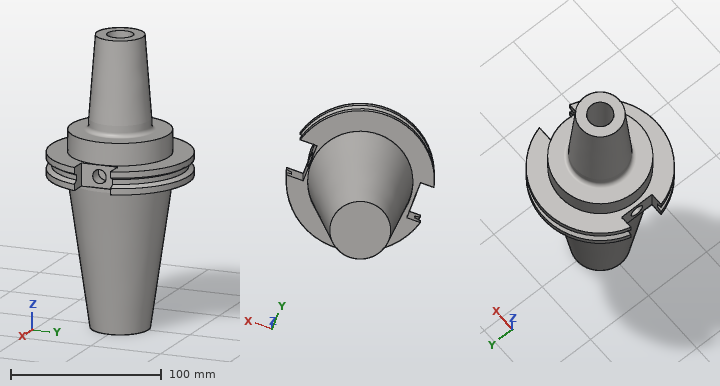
import cadquery as cq

total_height = 201.5
gauge_height = 101.8
flange_bottom = 104.8
flange_thickness = 16.0
flange_top = flange_bottom + flange_thickness
flange_middle = flange_bottom + flange_thickness / 2
collar_top = 136.3
nose_bottom = 144.1

shank_end_radius = 20.2
collar_radius = 34.9
flange_radius = 49.2
neck_radius = 21.0
nose_tip_radius = 16.5
neck_fillet = 3.0

groove_floor_radius = 45.5
groove_floor_width = 3.5
groove_mouth_width = 7.3

slot_width = 26.0
slot_face_positive_x = 35.5
slot_face_negative_x = 38.0
dimple_diameter = 9.7
dimple_depth = 9.7
bore_diameter = 18.0
bore_depth = 46.4


def make_body():
    """Revolve the shank, flange, collar and nose about Z."""
    profile = (
        cq.Workplane("XZ")
        .lineTo(shank_end_radius, 0)
        .lineTo(collar_radius, gauge_height)
        .lineTo(collar_radius, flange_bottom)
        .lineTo(flange_radius, flange_bottom)
        .lineTo(flange_radius, flange_middle - groove_mouth_width / 2)
        .lineTo(groove_floor_radius, flange_middle - groove_floor_width / 2)
        .lineTo(groove_floor_radius, flange_middle + groove_floor_width / 2)
        .lineTo(flange_radius, flange_middle + groove_mouth_width / 2)
        .lineTo(flange_radius, flange_top)
        .lineTo(collar_radius, flange_top)
        .lineTo(collar_radius, collar_top)
        .lineTo(neck_radius + neck_fillet, collar_top)
        .radiusArc((neck_radius, collar_top + neck_fillet), neck_fillet)
        .lineTo(neck_radius, nose_bottom)
        .lineTo(nose_tip_radius, total_height)
        .lineTo(0, total_height)
        .close()
    )
    return profile.revolve(360, (0, 0, 0), (0, 1, 0))


def make_drive_slot(side, slot_face_x):
    """Cutter for the slot and dimple on the +X (side=1) or -X (side=-1) side."""
    slot_depth = flange_radius - slot_face_x
    slot = cq.Workplane("XY").box(slot_depth, slot_width, flange_thickness).translate(
        (side * (slot_face_x + slot_depth / 2), 0, flange_middle)
    )
    dimple = (
        cq.Workplane("YZ", origin=(side * slot_face_x, 0, flange_middle))
        .circle(dimple_diameter / 2)
        .extrude(-side * dimple_depth)
    )
    return slot.union(dimple)


def make_bore():
    """Cutter for the blind tool bore in the nose."""
    return (
        cq.Workplane("XY", origin=(0, 0, total_height))
        .circle(bore_diameter / 2)
        .extrude(-bore_depth)
    )


result = make_body().cut(make_bore())
for side, slot_face_x in ((1, slot_face_positive_x), (-1, slot_face_negative_x)):
    result = result.cut(make_drive_slot(side, slot_face_x))